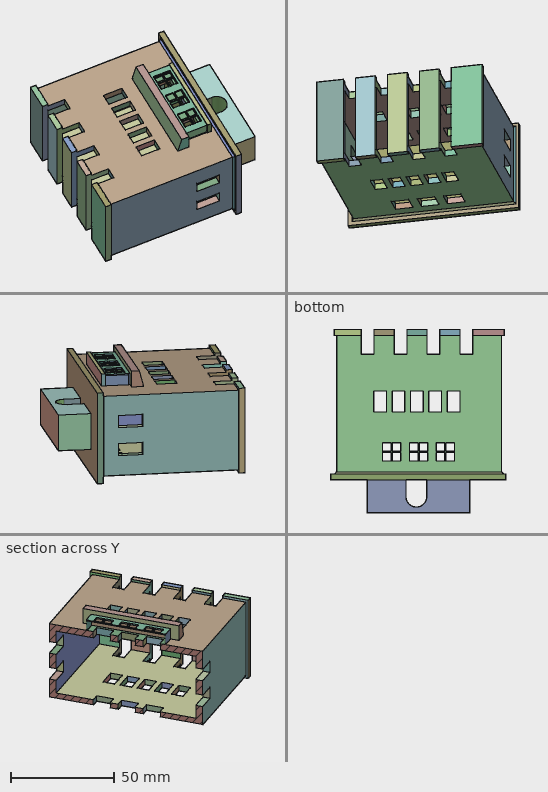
import cadquery as cq

part_depth = 89.0
part_height = 50.9

body_width = 80.0
body_height = 40.05
side_wall = 3.65
floor = 3.0
ceiling = 3.65

plinth_depth = 3.0
plinth_overhang = 1.25

flange_front = 70.0
flange_back = 73.0
flange_left = -2.9
flange_width = 85.0
flange_bottom = -2.9
flange_height = 45.5
bevel = 1.0

tail_left = 14.8
tail_width = 49.8
tail_bottom = 9.7
tail_height = 18.0
notch_width = 10.0
notch_center_x = 38.6
notch_end_y = 86.1

sill_left = 14.95
sill_width = 50.0
sill_back = 52.95
sill_top_depth = 3.8
sill_base_depth = 6.0
sill_rise = part_height + flange_bottom - body_height

box_left = 19.3
box_width = 41.5
box_rise = 5.6
box_wall = 0.5
pane_plate = 0.7
cap_front = 65.0
cap_depth = 2.05
cap_rise = 6.05
cap_overhang = 0.4

pane_groups = 3
panes_per_side = 2
pane_group_left = 22.3
pane_group_pitch = 13.0
pane_front = 55.0
pane_size = 4.0
pane_pitch = 4.7

window_count = 5
window_left = 18.1
window_pitch = 8.9
window_width = 6.05
window_front = 30.0
window_length = 10.0

slot_count = 4
slot_left = 12.0
slot_pitch = 15.9
slot_width = 6.05
slot_depth = 12.0

side_window_front = 49.9
side_window_length = 12.1
side_window_height = 6.05
side_window_bottoms = (10.0, 24.0)

cut_margin = 0.9
cut_bottom = flange_bottom - cut_margin
cut_height = body_height + sill_rise + cut_margin - cut_bottom


def block(x, y, z, width, depth, height):
    """Box given by its lowest corner and its sizes along X, Y and Z."""
    return cq.Workplane("XY", origin=(x, y, z)).box(width, depth, height, centered=False)


def vertical_cutter(x, y, width, depth):
    """Rectangular cutter that passes through the full height."""
    return block(x, y, cut_bottom, width, depth, cut_height)


def make_plinth():
    return block(
        -plinth_overhang,
        0,
        -plinth_overhang,
        body_width + 2 * plinth_overhang,
        plinth_depth,
        body_height + 2 * plinth_overhang,
    )


def make_flange():
    plate = block(
        flange_left, flange_front, flange_bottom, flange_width, flange_back - flange_front, flange_height
    )
    bevel_ring = (
        cq.Workplane("XZ", origin=(body_width / 2, flange_front, body_height / 2))
        .rect(body_width + 2 * bevel, body_height + 2 * bevel)
        .extrude(bevel, taper=45)
    )
    return plate.union(bevel_ring)


def make_tail_block():
    tail = block(
        tail_left, flange_back, tail_bottom, tail_width, part_depth - flange_back, tail_height
    )
    radius = notch_width / 2
    center_y = notch_end_y - radius
    straight_part = vertical_cutter(
        notch_center_x - radius, flange_back, notch_width, center_y - flange_back
    )
    round_end = (
        cq.Workplane("XY", origin=(notch_center_x, center_y, cut_bottom))
        .circle(radius)
        .extrude(cut_height)
    )
    return tail.cut(straight_part).cut(round_end)


def make_sill():
    profile = [
        (0, 0),
        (0, sill_rise),
        (-sill_top_depth, sill_rise),
        (-sill_base_depth, 0),
    ]
    return (
        cq.Workplane("YZ", origin=(sill_left, sill_back, body_height))
        .polyline(profile)
        .close()
        .extrude(sill_width)
    )


def make_window_box():
    box_depth = cap_front - sill_back
    box = block(box_left, sill_back, body_height, box_width, box_depth, box_rise)
    hollow = block(
        box_left + box_wall,
        sill_back + box_wall,
        body_height,
        box_width - 2 * box_wall,
        box_depth - box_wall,
        box_rise - pane_plate,
    )
    cap = block(
        box_left - cap_overhang,
        cap_front,
        body_height,
        box_width + 2 * cap_overhang,
        cap_depth,
        cap_rise,
    )
    return box.cut(hollow).union(cap)


def cut_panes(part):
    """Cut the panes, and one opening below each group through the ceiling and the floor."""
    group_size = (panes_per_side - 1) * pane_pitch + pane_size
    for group in range(pane_groups):
        group_x = pane_group_left + group * pane_group_pitch
        for column in range(panes_per_side):
            for row in range(panes_per_side):
                pane_x = group_x + column * pane_pitch
                pane_y = pane_front + row * pane_pitch
                part = part.cut(vertical_cutter(pane_x, pane_y, pane_size, pane_size))
        part = part.cut(block(group_x, pane_front, 0, group_size, group_size, body_height))
    return part


def cut_row(part, count, left, pitch, front, width, length):
    """Cut a row of equal vertical openings spaced along X."""
    for i in range(count):
        part = part.cut(vertical_cutter(left + i * pitch, front, width, length))
    return part


result = block(0, 0, 0, body_width, flange_back, body_height)
result = result.union(make_plinth())
result = result.union(make_flange())
result = result.union(make_tail_block())

result = result.cut(
    block(
        side_wall,
        plinth_depth,
        floor,
        body_width - 2 * side_wall,
        flange_front - plinth_depth,
        body_height - floor - ceiling,
    )
)

result = result.union(make_sill())
result = result.union(make_window_box())

result = cut_panes(result)
result = cut_row(
    result, window_count, window_left, window_pitch, window_front, window_width, window_length
)
result = cut_row(
    result, slot_count, slot_left, slot_pitch, -cut_margin, slot_width, slot_depth + cut_margin
)
for bottom in side_window_bottoms:
    result = result.cut(
        block(0, side_window_front, bottom, body_width, side_window_length, side_window_height)
    )